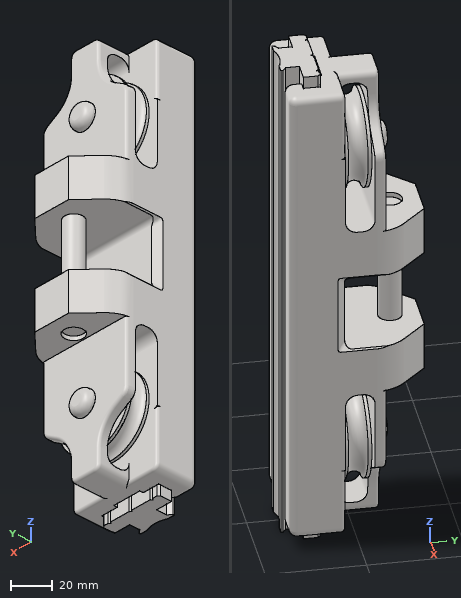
import cadquery as cq
import math


rail_length = 260.0
rail_stem_width = 19.0
rail_foot_width = 24.0
rail_foot_flat = 4.7
rail_hollow_depth = 1.5
rail_tip_height = 1.0
rail_flare_height = 2.9
rail_corner_chamfer = 1.3
rail_groove_width = 1.5
rail_groove_depth = 1.0
rail_groove_spacing = 14.8

flange_width = 40.0
flange_front = 9.5
flange_back = 18.2
mouth_width = 24.0
relief_width = 18.2
relief_depth = 2.3

carriage_width = 60.0
carriage_length = 247.5
carriage_front = 1.3
back_face = 49.0
edge_radius = 4.0
lip_radius = 5.0
small_radius = 1.8

bracket_top = 70.7
bracket_flat_width = 24.0
bracket_shoulder_radius = 20.0
bracket_length = 25.0
window_length = 40.0

window_floor = 28.9
window_corner_radius = 3.0
window_flare = 4.0
window_flare_radius = 2.0
window_end_flare = 0.8

pulley_place = 82.0
slot_width = 14.5
slot_length = 72.0
slot_front = 28.5
slot_corner_radius = 6.0
neck_width = 20.3
neck_start = 110.8
neck_blend_radius = 20.0
neck_blend_angle = 60
shoulder_radius = 6.0

pulley_diameter = 50.0
pulley_thickness = 13.3
groove_width = 9.5
groove_floor_diameter = 42.0
axle_diameter = 8.0
bolt_head_diameter = 15.5
bolt_head_rim = 1.3
bolt_head_height = 5.2
bolt_head_flat = 7.3
bolt_dome_bulge = 0.8
bolt_tip_diameter = 8.3
bolt_tip_length = 1.5
bolt_tip_chamfer = 1.0
bar_diameter = 12.0
bar_seat_diameter = 12.2
bar_seat_depth = 2.5
bar_height = 56.0

half_width = carriage_width / 2
half_length = carriage_length / 2
neck_turn = math.radians(neck_blend_angle)
blend_end_x = neck_width / 2 + neck_blend_radius * (1 - math.cos(neck_turn))
blend_end_z = neck_start - neck_blend_radius * math.sin(neck_turn)
shoulder_end = blend_end_z - (half_width - blend_end_x) / math.tan(neck_turn)
half_window = window_length / 2
bracket_end = half_window + bracket_length
relief_back = flange_back + relief_depth
slot_middle = slot_front + slot_width / 2
TOUCH = 0.13
ENDS = (1, -1)
SIDES = (1, -1)


def box(x_min, x_max, y_min, y_max, z_min, z_max):
    return cq.Workplane("XY").box(x_max - x_min, y_max - y_min, z_max - z_min, centered=False).translate(
        (x_min, y_min, z_min)
    )


def edges_within(body, limits):
    """Edges lying entirely inside the given (x, x, y, y, z, z) ranges, each pair in any order."""
    x_low, x_high = sorted(limits[0:2])
    y_low, y_high = sorted(limits[2:4])
    z_low, z_high = sorted(limits[4:6])
    found = []
    for edge in body.edges().vals():
        span = edge.BoundingBox()
        in_x = span.xmin > x_low - TOUCH and span.xmax < x_high + TOUCH
        in_y = span.ymin > y_low - TOUCH and span.ymax < y_high + TOUCH
        in_z = span.zmin > z_low - TOUCH and span.zmax < z_high + TOUCH
        if in_x and in_y and in_z:
            found.append(edge)
    return found


def make_rail_groove(x):
    """V groove running along the back of the flange."""
    return (
        cq.Workplane("XY")
        .workplane(offset=-rail_length / 2)
        .moveTo(x - rail_groove_width / 2, flange_back)
        .lineTo(x, flange_back - rail_groove_depth)
        .lineTo(x + rail_groove_width / 2, flange_back)
        .close()
        .extrude(rail_length)
    )


def make_rail():
    """T-shaped bar with a flared, slightly hollow foot."""
    stem = rail_stem_width / 2
    foot = rail_foot_width / 2
    flange = flange_width / 2
    hollow = foot - rail_foot_flat
    bar = (
        cq.Workplane("XY")
        .workplane(offset=-rail_length / 2)
        .moveTo(-hollow, 0)
        .threePointArc((0, rail_hollow_depth), (hollow, 0))
        .lineTo(foot, 0)
        .lineTo(foot, rail_tip_height)
        .lineTo(stem, rail_flare_height)
        .lineTo(stem, flange_front)
        .lineTo(flange, flange_front)
        .lineTo(flange, flange_back)
        .lineTo(-flange, flange_back)
        .lineTo(-flange, flange_front)
        .lineTo(-stem, flange_front)
        .lineTo(-stem, rail_flare_height)
        .lineTo(-foot, rail_tip_height)
        .lineTo(-foot, 0)
        .close()
        .extrude(rail_length)
    )
    back_corners = [(x, x, flange_back, flange_back, -rail_length / 2, rail_length / 2) for x in (-flange, flange)]
    corner_edges = edges_within(bar, back_corners[0]) + edges_within(bar, back_corners[1])
    bar = bar.newObject(corner_edges).chamfer(rail_corner_chamfer)
    for x in (-rail_groove_spacing, 0, rail_groove_spacing):
        bar = bar.cut(make_rail_groove(x))
    return bar


def make_block():
    """Full-length prism: flat front, 45 degree flanks at the back and round shoulders tangent to the sides."""
    flat = bracket_flat_width / 2
    slope = math.radians(45)
    corner_y = bracket_top - (half_width - flat)
    tangent = bracket_shoulder_radius * math.tan(slope / 2)
    round_start = corner_y - tangent
    round_middle = (
        half_width - bracket_shoulder_radius * (1 - math.cos(slope / 2)),
        round_start + bracket_shoulder_radius * math.sin(slope / 2),
    )
    round_end = (half_width - tangent * math.cos(slope), corner_y + tangent * math.sin(slope))
    return (
        cq.Workplane("XY")
        .workplane(offset=-half_length)
        .moveTo(-half_width, carriage_front)
        .lineTo(half_width, carriage_front)
        .lineTo(half_width, round_start)
        .threePointArc(round_middle, round_end)
        .lineTo(flat, bracket_top)
        .lineTo(-flat, bracket_top)
        .lineTo(-round_end[0], round_end[1])
        .threePointArc((-round_middle[0], round_middle[1]), (-half_width, round_start))
        .close()
        .extrude(carriage_length)
    )


def neck_outline(end):
    """Material removed on the +X side beside the neck, as a sketch in X and Z."""
    neck = neck_width / 2
    half_turn = neck_turn / 2
    blend_middle_x = neck + neck_blend_radius * (1 - math.cos(half_turn))
    blend_middle_z = neck_start - neck_blend_radius * math.sin(half_turn)
    return (
        cq.Workplane("XZ", origin=(0, slot_front, 0))
        .moveTo(neck, end * half_length)
        .lineTo(neck, end * neck_start)
        .threePointArc((blend_middle_x, end * blend_middle_z), (blend_end_x, end * blend_end_z))
        .lineTo(half_width, end * shoulder_end)
        .lineTo(half_width, end * half_length)
        .close()
    )


def neck_cut(end, side):
    cutter = neck_outline(end).extrude(-(back_face - slot_front))
    if side < 0:
        cutter = cutter.mirror("YZ")
    return cutter


def back_cut(end):
    """Clears everything behind the back face, beyond the bracket."""
    low, high = sorted((end * bracket_end, end * half_length))
    return box(-half_width, half_width, back_face, bracket_top, low, high)


def round_edges(body, ranges, radius):
    """Fillets every edge that lies inside one of the ranges."""
    edges = []
    for limits in ranges:
        edges += edges_within(body, limits)
    return body.newObject(edges).fillet(radius)


def lip_rounds():
    """Ranges of the long edges beside the mouth."""
    lip = mouth_width / 2
    front = carriage_front
    return [(side * lip, side * lip, front, front, -half_length, half_length) for side in SIDES]


def large_rounds():
    """Ranges of the outer long front edges and of the end edges."""
    neck = neck_width / 2
    lip = mouth_width / 2
    front = carriage_front
    ranges = []
    for side in SIDES:
        outer = side * half_width
        ranges.append((outer, outer, front, front, -half_length, half_length))
        for z in (half_length, -half_length):
            ranges.append((outer, outer, front, slot_front, z, z))
            ranges.append((side * lip, outer, front, front, z, z))
            ranges.append((side * neck, side * neck, slot_front, back_face, z, z))
    return ranges


def shoulder_rounds():
    """Ranges of the corners where each cheek reaches full width."""
    x_low = half_width - shoulder_radius / 2
    z_high = shoulder_end + shoulder_radius / 2
    return [
        (side * x_low, side * half_width, slot_middle, back_face, end * shoulder_end, end * z_high)
        for end in ENDS
        for side in SIDES
    ]


def ledge_rounds():
    """Ranges of the ledges' outer edges; each fillet runs on round the end."""
    return [
        (side * half_width, side * half_width, slot_front, slot_front, 0, end * half_length)
        for end in ENDS
        for side in SIDES
    ]


def back_rounds():
    """Ranges of the back face's edges along the neck and its widening."""
    return [
        (0, side * half_width, back_face, back_face, end * shoulder_end, end * half_length)
        for end in ENDS
        for side in SIDES
    ]


def make_window():
    """Opening between the brackets, with a 45 degree flare towards both sides."""
    height = bracket_top - window_floor
    opening = box(-half_width, half_width, window_floor, bracket_top, -half_window, half_window)
    opening = opening.edges("|X and <Y").fillet(window_corner_radius)
    outer_length = window_length + 2 * window_end_flare
    inner_length = outer_length - 2 * window_flare
    for side in SIDES:
        flare = (
            cq.Workplane("YZ", origin=(side * (half_width - window_flare), window_floor + height / 2, 0))
            .rect(height, inner_length)
            .workplane(offset=side * window_flare)
            .center(-window_flare / 2, 0)
            .rect(height + window_flare, outer_length)
            .loft(ruled=True)
        )
        floor_corners = flare.edges("not(|X or |Y or |Z)").edges("<Y")
        opening = opening.union(floor_corners.fillet(window_flare_radius))
    return opening


def make_slot(end):
    """Round-ended pulley slot, open through both sides."""
    return (
        cq.Workplane("YZ", origin=(-half_width, slot_middle, end * pulley_place))
        .rect(slot_width, slot_length)
        .extrude(carriage_width)
        .edges("|X")
        .fillet(slot_corner_radius)
    )


def make_pulley(end):
    """Grooved pulley with its axle, button head and threaded tip, turned about the Y direction."""
    rim = pulley_diameter / 2
    axle = axle_diameter / 2
    tip = bolt_tip_diameter / 2
    head = bolt_head_diameter / 2
    pulley_front = slot_middle - pulley_thickness / 2
    pulley_back = slot_middle + pulley_thickness / 2
    groove_front = slot_middle - groove_width / 2
    groove_back = slot_middle + groove_width / 2
    head_rim = back_face + bolt_head_rim
    head_top = back_face + bolt_head_height
    dome_middle = (
        (head + bolt_head_flat / 2) / 2 + bolt_dome_bulge,
        (head_rim + head_top) / 2 + bolt_dome_bulge,
    )
    return (
        cq.Workplane("XY", origin=(0, 0, end * pulley_place))
        .moveTo(0, relief_back - bolt_tip_length)
        .lineTo(tip - bolt_tip_chamfer, relief_back - bolt_tip_length)
        .lineTo(tip, relief_back - bolt_tip_length + bolt_tip_chamfer)
        .lineTo(tip, relief_back)
        .lineTo(axle, relief_back)
        .lineTo(axle, pulley_front)
        .lineTo(rim, pulley_front)
        .lineTo(rim, groove_front)
        .threePointArc((groove_floor_diameter / 2, slot_middle), (rim, groove_back))
        .lineTo(rim, pulley_back)
        .lineTo(axle, pulley_back)
        .lineTo(axle, back_face)
        .lineTo(head, back_face)
        .lineTo(head, head_rim)
        .threePointArc(dome_middle, (bolt_head_flat / 2, head_top))
        .lineTo(0, head_top)
        .close()
        .revolve(360, (0, 0, 0), (0, 1, 0))
    )


def make_bar():
    """Round cross bar joining the two brackets."""
    return (
        cq.Workplane("XY", origin=(0, bar_height, -half_window))
        .circle(bar_diameter / 2)
        .extrude(window_length)
    )


def make_bar_seat(end):
    """Shallow round recess in a bracket's outer face, in line with the bar."""
    return (
        cq.Workplane("XY", origin=(0, bar_height, end * bracket_end))
        .circle(bar_seat_diameter / 2)
        .extrude(-end * bar_seat_depth)
    )


def make_carriage():
    flange = flange_width / 2
    lip = mouth_width / 2
    relief = relief_width / 2
    body = make_block()
    body = body.cut(box(-lip, lip, carriage_front, flange_back, -half_length, half_length))
    for end in ENDS:
        body = body.cut(back_cut(end))
        for side in SIDES:
            body = body.cut(neck_cut(end, side))
    body = round_edges(body, large_rounds(), edge_radius)
    body = round_edges(body, lip_rounds(), lip_radius)
    body = round_edges(body, ledge_rounds(), small_radius)
    for end in ENDS:
        body = body.cut(make_slot(end))
    body = round_edges(body, shoulder_rounds(), shoulder_radius)
    body = round_edges(body, back_rounds(), small_radius)
    body = body.cut(box(-flange, flange, flange_front, flange_back, -half_length, half_length))
    body = body.cut(box(-relief, relief, flange_back, relief_back, -half_length, half_length))
    body = body.cut(make_window())
    for end in ENDS:
        body = body.cut(make_bar_seat(end))
        body = body.union(make_pulley(end))
    return body.union(make_bar())


rail = make_rail()
carriage = make_carriage()
result = cq.Compound.makeCompound([rail.val(), carriage.val()])